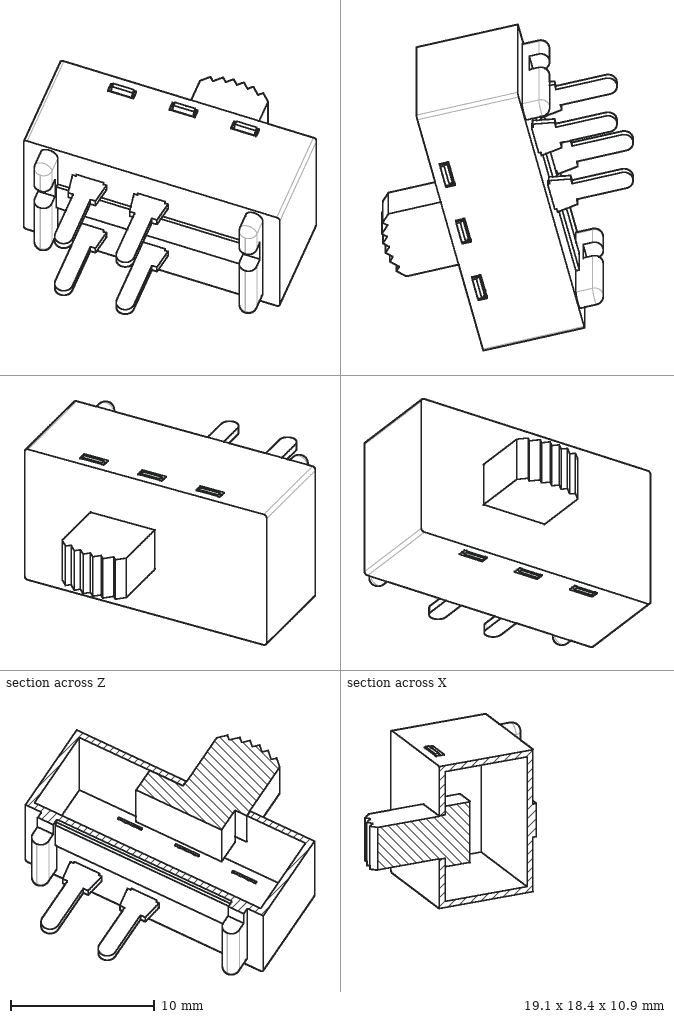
import cadquery as cq

housing_width = 19.13
housing_height = 10.71
housing_depth = 7.3
corner_radius = 0.25
wall = 0.5
terminal_pitch = 4.6
overlap = 0.2

window_columns = (-terminal_pitch, 0, terminal_pitch)
window_width = 1.9
window_length = 0.65
window_front_gap = 0.65
pocket_length = 0.5
pocket_depth = 0.17
latch_width = 1.55
latch_flat = 0.29
latch_rise = 0.11

ridge_height = 2.53
ridge_rise = 0.25
peg_spacing = 15.3
peg_width = 1.26
peg_length = 10.14
peg_rise = 1.8
peg_tip_radius = 0.61
notch_bottom = 0.45
notch_top = 2.49
notch_floor = 0.52

terminal_columns = (-terminal_pitch, 0)
terminal_row_spacing = 5.72
terminal_thickness = 0.55
terminal_length = 5.9
neck_width = 2.05
neck_length = 0.13
shoulder_width = 2.55
shoulder_end = 1.66
blade_width = 1.28

knob_offset = 1.82
knob_width = 5.09
knob_height = 3.23
tooth_peaks = ((0.38, 5.2), (1.13, 5.09), (1.97, 4.82))
carrier_width = 6.89
carrier_height = 4.6
carrier_depth = 1.91

front_inner = housing_depth - wall
wall_top = housing_height / 2


def block(x_range, y_range, z_range):
    """Box spanning the given (low, high) ranges."""
    size = [high - low for low, high in (x_range, y_range, z_range)]
    corner = (x_range[0], y_range[0], z_range[0])
    return cq.Workplane("XY").box(*size, centered=False).translate(corner)


def centered(size, middle=0):
    """Range of the given size about a middle value."""
    return (middle - size / 2, middle + size / 2)


def make_case():
    """Hollow box with rounded long edges and a front opening for the knob."""
    case = block(centered(housing_width), (0, housing_depth), centered(housing_height))
    case = case.edges("|Y").fillet(corner_radius)
    cavity = block(
        centered(housing_width - 2 * wall),
        (wall, front_inner),
        centered(housing_height - 2 * wall),
    )
    opening = block(
        centered(knob_width, knob_offset),
        (front_inner - overlap, housing_depth + overlap),
        centered(knob_height),
    )
    return case.cut(cavity).cut(opening)


def make_window_cutter(x):
    """Shallow pocket plus a slot through the wall along its rear edge."""
    window_front = housing_depth - window_front_gap
    window_rear = window_front - window_length
    pocket_rear = window_front - pocket_length
    above = wall_top + overlap
    pocket = block(
        centered(window_width, x), (window_rear, window_front), (wall_top - pocket_depth, above)
    )
    slot = block(
        centered(window_width, x), (window_rear, pocket_rear), (wall_top - wall - overlap, above)
    )
    return pocket.union(slot)


def make_latch(x):
    """Wedge on the pocket floor, flat at the front and sloping to the rear."""
    front = housing_depth - window_front_gap
    crest = wall_top + latch_rise
    floor = wall_top - pocket_depth
    return (
        cq.Workplane("YZ", origin=(x - latch_width / 2, 0, 0))
        .moveTo(front, floor)
        .lineTo(front, crest)
        .lineTo(front - latch_flat, crest)
        .lineTo(front - pocket_length, floor)
        .close()
        .extrude(latch_width)
    )


def make_peg():
    """Upright rib with rounded ends and a rounded tip, notched above its middle."""
    peg = (
        cq.Workplane("XZ", origin=(0, overlap, 0))
        .slot2D(peg_length, peg_width, 90)
        .extrude(peg_rise + overlap)
        .faces("<Y")
        .edges()
        .fillet(peg_tip_radius)
    )
    notch = block(
        centered(peg_width + overlap),
        (-peg_rise - overlap, -notch_floor),
        (notch_bottom, notch_top),
    )
    return peg.cut(notch)


def make_terminal():
    """Flat pin with a tapered shoulder and a round end, reaching into the rear wall."""
    neck = neck_width / 2
    shoulder = shoulder_width / 2
    blade = blade_width / 2
    round_start = -(terminal_length - blade)
    return (
        cq.Workplane("XY")
        .moveTo(-neck, overlap)
        .lineTo(-neck, -neck_length)
        .lineTo(-shoulder, -neck_length)
        .lineTo(-neck, -shoulder_end)
        .lineTo(-blade, -shoulder_end)
        .lineTo(-blade, round_start)
        .threePointArc((0, -terminal_length), (blade, round_start))
        .lineTo(blade, -shoulder_end)
        .lineTo(neck, -shoulder_end)
        .lineTo(shoulder, -neck_length)
        .lineTo(neck, -neck_length)
        .lineTo(neck, overlap)
        .close()
        .extrude(terminal_thickness / 2, both=True)
    )


def make_housing():
    """Case with its latches, ridge, pegs and terminals."""
    housing = make_case()
    for x in window_columns:
        cutter = make_window_cutter(x)
        latch = make_latch(x)
        housing = housing.cut(cutter).cut(cutter.mirror("XY"))
        housing = housing.union(latch).union(latch.mirror("XY"))

    ridge = block(centered(peg_spacing), (-ridge_rise, overlap), centered(ridge_height))
    housing = housing.union(ridge)
    for x in centered(peg_spacing):
        housing = housing.union(make_peg().translate((x, 0, 0)))

    for x in terminal_columns:
        for z in centered(terminal_row_spacing):
            housing = housing.union(make_terminal().translate((x, 0, z)))
    return housing


def serration_points():
    """Corner points of the knob's 45-degree teeth, from left to right."""
    peaks = [(-x, y) for x, y in reversed(tooth_peaks)] + list(tooth_peaks)
    half_width = knob_width / 2
    outer_x, outer_y = tooth_peaks[-1]
    edge_y = outer_y - (half_width - outer_x)
    points = [(-half_width, edge_y), peaks[0]]
    for (x1, y1), (x2, y2) in zip(peaks, peaks[1:]):
        valley_x = (x1 + x2 + y1 - y2) / 2
        valley_y = y1 - (valley_x - x1)
        points += [(valley_x, valley_y), (x2, y2)]
    return points + [(half_width, edge_y)]


def make_slider():
    """Serrated knob through the front opening, on a carrier behind the front wall."""
    half_width = knob_width / 2
    outline = [(-half_width, -wall)] + serration_points() + [(half_width, -wall)]
    knob = (
        cq.Workplane("XY", origin=(knob_offset, housing_depth, 0))
        .polyline(outline)
        .close()
        .extrude(knob_height / 2, both=True)
    )
    carrier = block(
        centered(carrier_width), (front_inner - carrier_depth, front_inner), centered(carrier_height)
    )
    return knob.union(carrier)


housing = make_housing()
slider = make_slider()

result = cq.Compound.makeCompound([housing.val(), slider.val()])